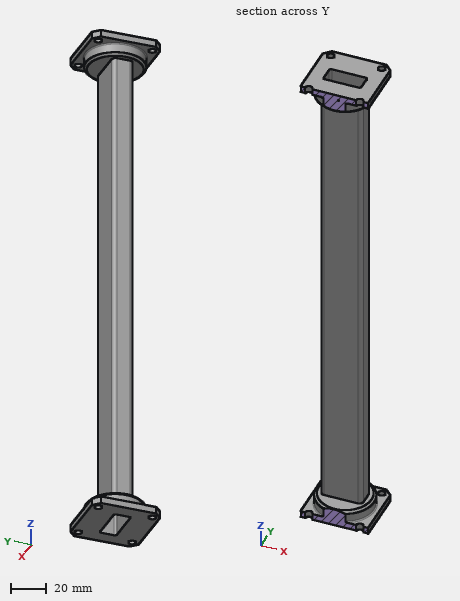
import cadquery as cq

length = 304.8
flange_side = 41.0
flange_thickness = 4.3
flange_corner_chamfer = 4.0

boss_diameter = 35.0
boss_height = 7.3
boss_chamfer = 1.5
boss_base_fillet = 0.5

hole_diameter = 4.3
hole_spacing_x = 31.0
hole_spacing_y = 32.5

bore_x = 23.0
bore_y = 10.0
bore_corner_radius = 1.2
wall = 1.28
tube_corner_radius = bore_corner_radius + wall


def rounded_bar(size_x, size_y, corner_radius):
    """Full-length bar along Z with rounded long edges."""
    bar = cq.Workplane("XY").box(size_x, size_y, length, centered=(True, True, False))
    return bar.edges("|Z").fillet(corner_radius)


def lower_flange():
    """Square flange on Z = 0 with a chamfered boss facing up."""
    plate = (
        cq.Workplane("XY")
        .box(flange_side, flange_side, flange_thickness, centered=(True, True, False))
        .edges("|Z")
        .chamfer(flange_corner_chamfer)
    )
    boss = (
        cq.Workplane("XY", origin=(0, 0, flange_thickness))
        .circle(boss_diameter / 2)
        .extrude(boss_height)
        .faces(">Z")
        .chamfer(boss_chamfer)
    )
    holes = (
        cq.Workplane("XY")
        .rect(hole_spacing_x, hole_spacing_y, forConstruction=True)
        .vertices()
        .circle(hole_diameter / 2)
        .extrude(flange_thickness)
    )
    flange = plate.union(boss)
    foot_edge = cq.selectors.NearestToPointSelector((boss_diameter / 2, 0, flange_thickness))
    return flange.edges("%CIRCLE").edges(foot_edge).fillet(boss_base_fillet).cut(holes)


bottom = lower_flange()
top = bottom.mirror("XY", (0, 0, length / 2))
tube = rounded_bar(bore_x + 2 * wall, bore_y + 2 * wall, tube_corner_radius)
bore = rounded_bar(bore_x, bore_y, bore_corner_radius)

result = tube.union(bottom).union(top).cut(bore)